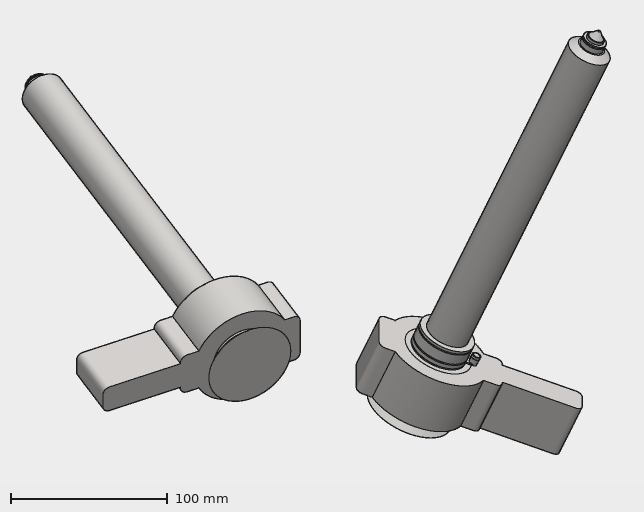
import cadquery as cq
part_length = 313.0

tip_flat_diameter = 2.0
cone_base_diameter = 10.3
tip_diameter = 12.0
tip_cone_length = 5.0
nose_diameter = 16.0
nose_front_x = 7.0

barrel_diameter = 29.0
barrel_taper_diameter = 18.0
barrel_taper_start_x = 12.5
barrel_taper_end_x = 16.3

handle_front_x = 265.0
handle_thickness = 38.0
handle_back_x = handle_front_x + handle_thickness
hub_diameter = 70.0
tab_end_y = 41.0
tab_width = 36.5
root_end_y = -44.5
root_width = 31.3
arm_end_y = -100.0
arm_width = 20.0
handle_edge_radius = 4.7

collar_diameter = 38.0
collar_front_x = 250.0
foot_diameter = 46.0
foot_depth = 8.0
foot_end_x = handle_front_x + foot_depth

ring_width = 1.0
nose_ring_x = 7.8
nose_ring_bore = 14.0
collar_ring_starts = (252.0, 260.5)
collar_ring_bore = 36.0

pin_diameter = 5.5
pin_y = -23.8
pin_point_x = 256.7
pin_point_diameter = 4.5
pin_head_x = 258.5
pin_head_diameter = 6.0
pin_head_end_x = 260.5

locking_ring_x = handle_front_x - ring_width
lug_width = 6.0

neck_diameter = 42.0
neck_length = 2.0
flange_diameter = 58.5


def turned(profile):
    """Solid of revolution about the X axis from (X, radius) points that start and end on the axis."""
    return cq.Workplane("XY").polyline(profile).close().revolve(360, (0, 0, 0), (1, 0, 0))


def rod(diameter, start_x, end_x):
    """Cylinder on the X axis."""
    return cq.Workplane("YZ", origin=(start_x, 0, 0)).circle(diameter / 2).extrude(end_x - start_x)


def ring(diameter, bore, start_x):
    """Flat ring on the X axis."""
    return rod(diameter, start_x, start_x + ring_width).cut(rod(bore, start_x, start_x + ring_width))


def handle_bar(end_y, width):
    """Bar from the axis out to end_y, as thick as the handle, with its two far edges rounded."""
    bar = (
        cq.Workplane("YZ", origin=(handle_front_x, end_y / 2, 0))
        .rect(abs(end_y), width)
        .extrude(handle_thickness)
    )
    far_edges = "|X and >Y" if end_y > 0 else "|X and <Y"
    return bar.edges(far_edges).fillet(handle_edge_radius)


def make_nose_ring():
    return ring(nose_diameter, nose_ring_bore, nose_ring_x)


def make_barrel():
    """Barrel with its nose, running back through the handle."""
    barrel = turned([
        (0, 0),
        (0, tip_flat_diameter / 2),
        (tip_cone_length, cone_base_diameter / 2),
        (tip_cone_length, tip_diameter / 2),
        (nose_front_x, tip_diameter / 2),
        (nose_front_x, nose_diameter / 2),
        (barrel_taper_start_x, nose_diameter / 2),
        (barrel_taper_start_x, barrel_taper_diameter / 2),
        (barrel_taper_end_x, barrel_diameter / 2),
        (handle_back_x, barrel_diameter / 2),
        (handle_back_x, 0),
    ])
    return barrel.cut(make_nose_ring())


def make_pin():
    """Pointed pin with a slightly wider head, parallel to the axis, standing in the handle and the foot of the collar."""
    pin = turned([
        (pin_point_x, 0),
        (pin_head_x, pin_point_diameter / 2),
        (pin_head_x, pin_head_diameter / 2),
        (pin_head_end_x, pin_head_diameter / 2),
        (pin_head_end_x, pin_diameter / 2),
        (foot_end_x, pin_diameter / 2),
        (foot_end_x, 0),
    ])
    return pin.translate((0, pin_y, 0))


def make_collar_ring(start_x):
    return ring(collar_diameter, collar_ring_bore, start_x)


def make_locking_ring():
    lug = (
        cq.Workplane("YZ", origin=(locking_ring_x, pin_y / 2, 0))
        .rect(abs(pin_y), lug_width)
        .extrude(ring_width)
        .cut(rod(collar_ring_bore, locking_ring_x, handle_front_x))
    )
    return make_collar_ring(locking_ring_x).union(lug).cut(make_pin())


def make_collar():
    collar = rod(collar_diameter, collar_front_x, handle_front_x)
    collar = collar.union(rod(foot_diameter, handle_front_x, foot_end_x))
    collar = collar.cut(rod(barrel_diameter, collar_front_x, foot_end_x))
    for start_x in (*collar_ring_starts, locking_ring_x):
        collar = collar.cut(make_collar_ring(start_x))
    return collar.cut(make_pin())


def make_handle():
    handle = rod(hub_diameter, handle_front_x, handle_back_x)
    handle = handle.union(handle_bar(tab_end_y, tab_width))
    handle = handle.union(handle_bar(root_end_y, root_width))
    handle = handle.union(handle_bar(arm_end_y, arm_width))
    handle = handle.cut(rod(barrel_diameter, handle_front_x, handle_back_x))
    handle = handle.cut(rod(foot_diameter, handle_front_x, foot_end_x))
    return handle.cut(make_pin())


def make_end_flange():
    cone_x = handle_back_x + neck_length
    return turned([
        (handle_back_x, 0),
        (handle_back_x, neck_diameter / 2),
        (cone_x, neck_diameter / 2),
        (part_length, flange_diameter / 2),
        (part_length, 0),
    ])


barrel = make_barrel()
nose_ring = make_nose_ring()
collar = make_collar()
collar_rings = [make_collar_ring(start_x) for start_x in collar_ring_starts]
locking_ring = make_locking_ring()
pin = make_pin()
handle = make_handle()
end_flange = make_end_flange()

result = cq.Compound.makeCompound([
    barrel.val(),
    nose_ring.val(),
    collar.val(),
    *[collar_ring.val() for collar_ring in collar_rings],
    locking_ring.val(),
    pin.val(),
    handle.val(),
    end_flange.val(),
])